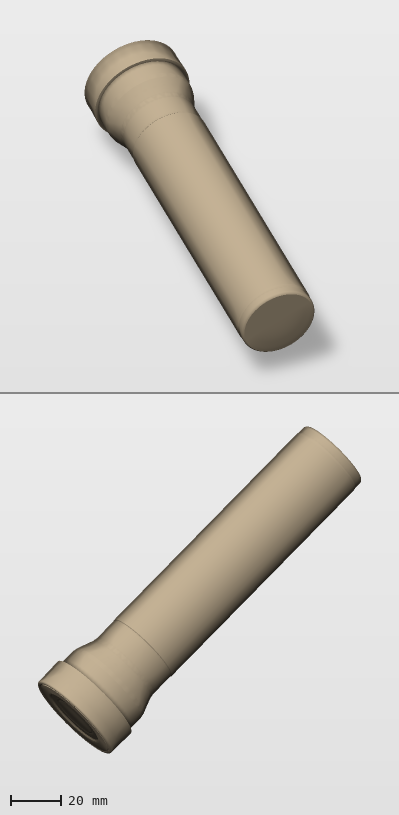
import cadquery as cq

TOTAL_LENGTH = 150.0

BEZEL_LENGTH = 11.9
BEZEL_FRONT_RADIUS = 40.4 / 2
BEZEL_REAR_RADIUS = 40.8 / 2
BEZEL_BAND_LENGTH = 0.9
BEZEL_FRONT_ROUND = 0.8

COLLAR_RADIUS = 37.8 / 2
NECK_RADIUS = 31.5 / 2
NECK_END_X = 39.5
SHOULDER_START_X = 20.0
SHOULDER_END_X = 28.5
SHOULDER_BLEND_RADIUS = 5.5

BARREL_RADIUS = 32.0 / 2
BARREL_FRONT_CHAMFER = 0.3
BARREL_REAR_ROUND_LENGTH = 1.4
TAIL_LENGTH = 3.9
TAIL_RADIUS = NECK_RADIUS
TAIL_ROUND_LENGTH = 1.4
TAIL_ROUND_DROP = 0.8

INSERT_RADIUS = 18.5
INSERT_DEPTH = BEZEL_LENGTH

RECESS_MOUTH_RADIUS = 13.8
RECESS_BEVEL_RADIUS = 13.2
RECESS_BEVEL_DEPTH = 0.2
RECESS_FLOOR_RADIUS = 12.8
RECESS_DEPTH = 0.8

GROOVE_OUTER_RADIUS = 9.9
GROOVE_INNER_RADIUS = 8.5
GROOVE_DEPTH = 0.2


def revolve_about_x(profile):
    """Turn a closed half-profile, drawn as (X, radius), into a solid."""
    return profile.close().revolve(360, (0, 0, 0), (1, 0, 0))


def fillet_rim(body, x, radius, fillet_radius):
    """Round the circular edge of the given radius centred on the X axis at x."""
    tolerance = 0.02
    reach = radius + tolerance
    rim = cq.selectors.BoxSelector(
        (x - tolerance, -reach, -reach),
        (x + tolerance, reach, reach),
        boundingbox=True,
    )
    return body.edges(rim).fillet(fillet_radius)


def make_housing():
    tail_x = TOTAL_LENGTH - TAIL_LENGTH
    housing = revolve_about_x(
        cq.Workplane("XY")
        .moveTo(INSERT_DEPTH, 0)
        .lineTo(INSERT_DEPTH, INSERT_RADIUS)
        .lineTo(0, INSERT_RADIUS)
        .lineTo(0, BEZEL_FRONT_RADIUS)
        .lineTo(BEZEL_LENGTH - BEZEL_BAND_LENGTH, BEZEL_REAR_RADIUS)
        .lineTo(BEZEL_LENGTH, BEZEL_REAR_RADIUS)
        .lineTo(BEZEL_LENGTH, COLLAR_RADIUS)
        .lineTo(SHOULDER_START_X, COLLAR_RADIUS)
        .lineTo(SHOULDER_END_X, NECK_RADIUS)
        .lineTo(NECK_END_X, NECK_RADIUS)
        .lineTo(NECK_END_X, BARREL_RADIUS - BARREL_FRONT_CHAMFER)
        .lineTo(NECK_END_X + BARREL_FRONT_CHAMFER, BARREL_RADIUS)
        .lineTo(tail_x - BARREL_REAR_ROUND_LENGTH, BARREL_RADIUS)
        .tangentArcPoint((tail_x, TAIL_RADIUS), relative=False)
        .lineTo(TOTAL_LENGTH - TAIL_ROUND_LENGTH, TAIL_RADIUS)
        .tangentArcPoint((TOTAL_LENGTH, TAIL_RADIUS - TAIL_ROUND_DROP), relative=False)
        .lineTo(TOTAL_LENGTH, 0)
    )
    housing = fillet_rim(housing, 0, BEZEL_FRONT_RADIUS, BEZEL_FRONT_ROUND)
    housing = fillet_rim(housing, SHOULDER_START_X, COLLAR_RADIUS, SHOULDER_BLEND_RADIUS)
    return fillet_rim(housing, SHOULDER_END_X, NECK_RADIUS, SHOULDER_BLEND_RADIUS)


def make_insert():
    groove_middle_radius = (GROOVE_INNER_RADIUS + GROOVE_OUTER_RADIUS) / 2
    return revolve_about_x(
        cq.Workplane("XY")
        .moveTo(INSERT_DEPTH, 0)
        .lineTo(INSERT_DEPTH, INSERT_RADIUS)
        .lineTo(0, INSERT_RADIUS)
        .lineTo(0, RECESS_MOUTH_RADIUS)
        .lineTo(RECESS_BEVEL_DEPTH, RECESS_BEVEL_RADIUS)
        .lineTo(RECESS_DEPTH, RECESS_FLOOR_RADIUS)
        .lineTo(RECESS_DEPTH, GROOVE_OUTER_RADIUS)
        .lineTo(RECESS_DEPTH + GROOVE_DEPTH, groove_middle_radius)
        .lineTo(RECESS_DEPTH, GROOVE_INNER_RADIUS)
        .lineTo(RECESS_DEPTH, 0)
    )


housing = make_housing()
insert = make_insert()
result = cq.Compound.makeCompound([housing.val(), insert.val()])